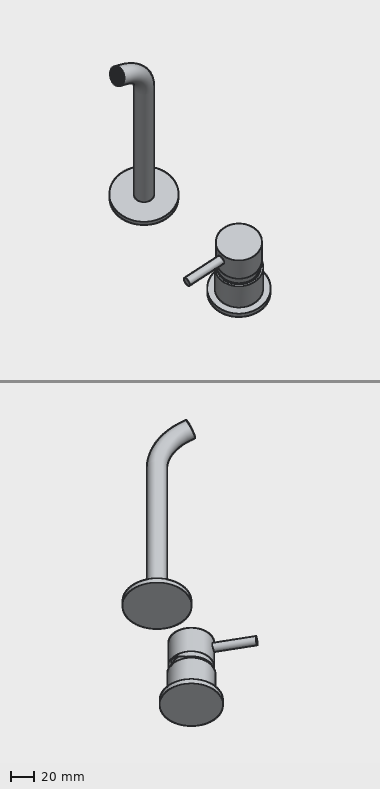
import cadquery as cq
import math

TOTAL_HEIGHT = 208.2
MIXER_X = 130.5

FLANGE_RADIUS = 30.0
FLANGE_THICKNESS = 5.0
TUBE_RADIUS = 9.0
BEND_RADIUS = 40.0
BEND_ANGLE = 65.0
TIP_LENGTH = 7.3

AERATOR_RADIUS = 7.5
AERATOR_THICKNESS = 2.0
HOLE_PITCH = 1.7
HOLE_DIAMETER = 1.2
HOLE_RINGS = 4

PLATE_RADIUS = 27.5
PLATE_THICKNESS = 5.2
BODY_RADIUS = 21.0
BODY_TOP = 35.8

BALL_RADIUS = 19.0

HEAD_RADIUS = 20.0
HEAD_BOTTOM = 38.5
HEAD_TOP = 71.8
HEAD_WALL = 0.52
CAVITY_DEPTH = 6.2
RELIEF_ANGLE = 22.0

LEVER_RADIUS = 4.2
LEVER_Z = 62.9
LEVER_REACH = 57.9

bend_radians = math.radians(BEND_ANGLE)
bend_sin = math.sin(bend_radians)
bend_cos = math.cos(bend_radians)
column_height = TOTAL_HEIGHT - (BEND_RADIUS + TUBE_RADIUS) * bend_sin - TIP_LENGTH * bend_cos
bend_end_y = -BEND_RADIUS * (1 - bend_cos)
bend_end_z = column_height + BEND_RADIUS * bend_sin
outlet_y = bend_end_y - TIP_LENGTH * bend_sin
outlet_z = bend_end_z + TIP_LENGTH * bend_cos
cavity_top = HEAD_BOTTOM + CAVITY_DEPTH


def cylinder(radius, bottom, top):
    """Vertical cylinder on the Z axis between two heights."""
    return cq.Workplane("XY", origin=(0, 0, bottom)).circle(radius).extrude(top - bottom)


def outlet_plane(depth):
    """Plane parallel to the spout's end face, the given depth inside it, normal pointing out."""
    origin = (0, outlet_y + depth * bend_sin, outlet_z - depth * bend_cos)
    return cq.Plane(origin=origin, xDir=(1, 0, 0), normal=(0, -bend_sin, bend_cos))


def aerator_disc():
    """Plain disc filling the end of the spout's tip."""
    plane = outlet_plane(AERATOR_THICKNESS)
    return cq.Workplane(plane).circle(AERATOR_RADIUS).extrude(AERATOR_THICKNESS)


def make_spout():
    """Flange, straight column, bend and straight tip, with a recess for the aerator."""
    flange = cylinder(FLANGE_RADIUS, 0, FLANGE_THICKNESS)
    column = cylinder(TUBE_RADIUS, 0, column_height)
    bend = (
        cq.Workplane("XY", origin=(0, 0, column_height))
        .circle(TUBE_RADIUS)
        .revolve(BEND_ANGLE, (0, -BEND_RADIUS, 0), (1, -BEND_RADIUS, 0))
    )
    tip = cq.Workplane(outlet_plane(TIP_LENGTH)).circle(TUBE_RADIUS).extrude(TIP_LENGTH)
    return flange.union(column).union(bend).union(tip).cut(aerator_disc())


def hole_centres():
    """Centres of the aerator's holes: a triangular grid filling a hexagon."""
    centres = []
    for row in range(-HOLE_RINGS, HOLE_RINGS + 1):
        count = 2 * HOLE_RINGS + 1 - abs(row)
        for i in range(count):
            x = (i - (count - 1) / 2) * HOLE_PITCH
            centres.append((x, row * HOLE_PITCH * math.sqrt(3) / 2))
    return centres


def make_aerator():
    """Disc in the spout's recess, pierced by a triangular grid of round holes."""
    holes = (
        cq.Workplane(outlet_plane(AERATOR_THICKNESS))
        .pushPoints(hole_centres())
        .circle(HOLE_DIAMETER / 2)
        .extrude(AERATOR_THICKNESS)
    )
    return aerator_disc().cut(holes)


def make_mixer_base():
    """Round plate with the cylindrical mixer body on it."""
    plate = cylinder(PLATE_RADIUS, 0, PLATE_THICKNESS)
    return plate.union(cylinder(BODY_RADIUS, 0, BODY_TOP))


def make_ball():
    """Part of a ball between the top of the body and the ceiling of the head's cavity."""
    ball = cq.Workplane("XY", origin=(0, 0, BODY_TOP)).sphere(BALL_RADIUS)
    return ball.intersect(cylinder(BALL_RADIUS, BODY_TOP, cavity_top))


def make_head():
    """Cap with a cavity for the ball, a relief under its back half, and the lever in front."""
    cavity = cylinder(HEAD_RADIUS - HEAD_WALL, HEAD_BOTTOM, cavity_top)
    relief_rise = HEAD_RADIUS * math.tan(math.radians(RELIEF_ANGLE))
    relief = (
        cq.Workplane("YZ")
        .moveTo(0, HEAD_BOTTOM)
        .lineTo(HEAD_RADIUS, HEAD_BOTTOM)
        .lineTo(HEAD_RADIUS, HEAD_BOTTOM + relief_rise)
        .close()
        .extrude(HEAD_RADIUS, both=True)
    )
    lever = cq.Workplane("XZ", origin=(0, 0, LEVER_Z)).circle(LEVER_RADIUS).extrude(LEVER_REACH)
    return cylinder(HEAD_RADIUS, HEAD_BOTTOM, HEAD_TOP).cut(cavity).cut(relief).union(lever)


mixer_offset = cq.Vector(MIXER_X, 0, 0)
spout = make_spout()
aerator = make_aerator()
mixer_base = make_mixer_base().translate(mixer_offset)
ball = make_ball().translate(mixer_offset)
head = make_head().translate(mixer_offset)

result = cq.Compound.makeCompound(
    [spout.val(), aerator.val(), mixer_base.val(), ball.val(), head.val()]
)